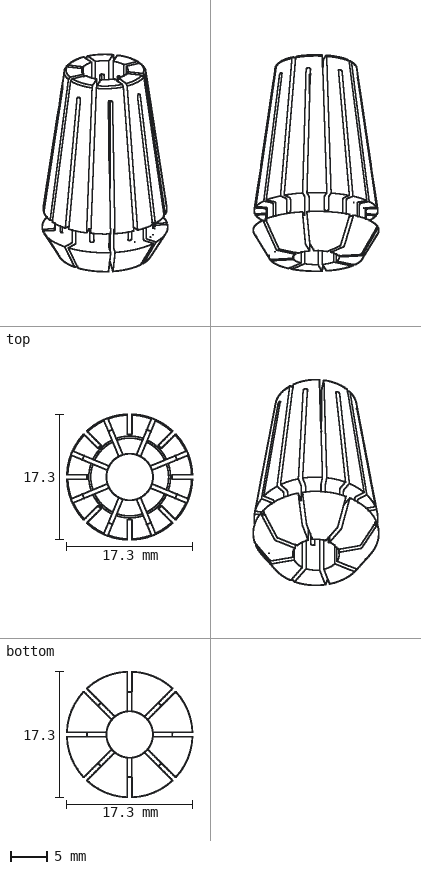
import cadquery as cq
import math

length = 27.5
bore_diameter = 6.35

flange_diameter = 17.27
flange_height = 3.93
flange_angle = 30.0
bottom_fillet = 0.3

neck_diameter = 13.8
neck_height = 2.75
neck_fillet = 0.25

taper_diameter = 17.0
taper_angle = 8.0
top_chamfer = 0.28

slot_count = 8
slot_width = 0.6
lower_slot_top = 25.5
upper_slot_bottom = 4.6

flange_radius = flange_diameter / 2
bottom_radius = flange_radius - flange_height * math.tan(math.radians(flange_angle))
neck_radius = neck_diameter / 2
taper_start = flange_height + neck_height
taper_radius = taper_diameter / 2
rim_height = length - top_chamfer
rim_radius = taper_radius - (rim_height - taper_start) * math.tan(math.radians(taper_angle))
slot_step = 360.0 / slot_count


def make_body():
    """Revolve the body around the Z axis, round its edges and bore it through."""
    body = (
        cq.Workplane("XZ")
        .moveTo(0, 0)
        .lineTo(bottom_radius, 0)
        .lineTo(flange_radius, flange_height)
        .lineTo(neck_radius, flange_height)
        .lineTo(neck_radius, taper_start)
        .lineTo(taper_radius, taper_start)
        .lineTo(rim_radius, rim_height)
        .lineTo(rim_radius - top_chamfer, length)
        .lineTo(0, length)
        .close()
        .revolve(360, (0, 0, 0), (0, 1, 0))
    )
    neck_edges = body.edges("%CIRCLE").filter(
        lambda edge: math.isclose(edge.radius(), neck_radius)
    )
    body = neck_edges.fillet(neck_fillet)
    body = body.faces("<Z").edges().fillet(bottom_fillet)
    return body.faces(">Z").workplane().hole(bore_diameter)


def make_slot_cutter(open_end, closed_end, angle):
    """Radial blade from the axis outward, with a full round at its closed end."""
    half_width = slot_width / 2
    direction = math.copysign(1, closed_end - open_end)
    round_start = closed_end - direction * half_width
    return (
        cq.Workplane("YZ")
        .moveTo(-half_width, open_end)
        .lineTo(-half_width, round_start)
        .threePointArc((0, closed_end), (half_width, round_start))
        .lineTo(half_width, open_end)
        .close()
        .extrude(flange_diameter)
        .rotate((0, 0, 0), (0, 0, 1), angle)
    )


result = make_body()
for index in range(slot_count):
    lower_angle = index * slot_step
    upper_angle = lower_angle + slot_step / 2
    result = result.cut(make_slot_cutter(0, lower_slot_top, lower_angle))
    result = result.cut(make_slot_cutter(length, upper_slot_bottom, upper_angle))